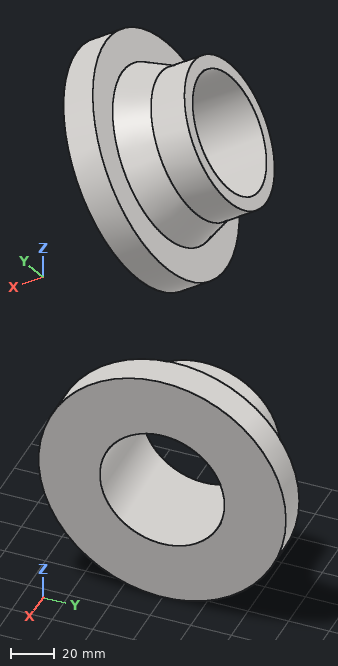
import cadquery as cq

total_length = 50.5
flange_diameter = 122.0
flange_thickness = 16.0
bore_diameter = 61.4
pipe_diameter = 75.0
pipe_length = 18.2
neck_base_diameter = 88.9

flange_face = total_length - flange_thickness
pipe_radius = pipe_diameter / 2
neck_base_radius = neck_base_diameter / 2
flange_radius = flange_diameter / 2
bore_radius = bore_diameter / 2

half_section = (
    cq.Workplane("XY")
    .moveTo(0, bore_radius)
    .lineTo(0, pipe_radius)
    .lineTo(pipe_length, pipe_radius)
    .lineTo(flange_face, neck_base_radius)
    .lineTo(flange_face, flange_radius)
    .lineTo(total_length, flange_radius)
    .lineTo(total_length, bore_radius)
    .close()
)

axis_start = (0, 0, 0)
axis_end = (1, 0, 0)
part = half_section.revolve(360, axis_start, axis_end)

result = part.translate((-total_length / 2, 0, 0))